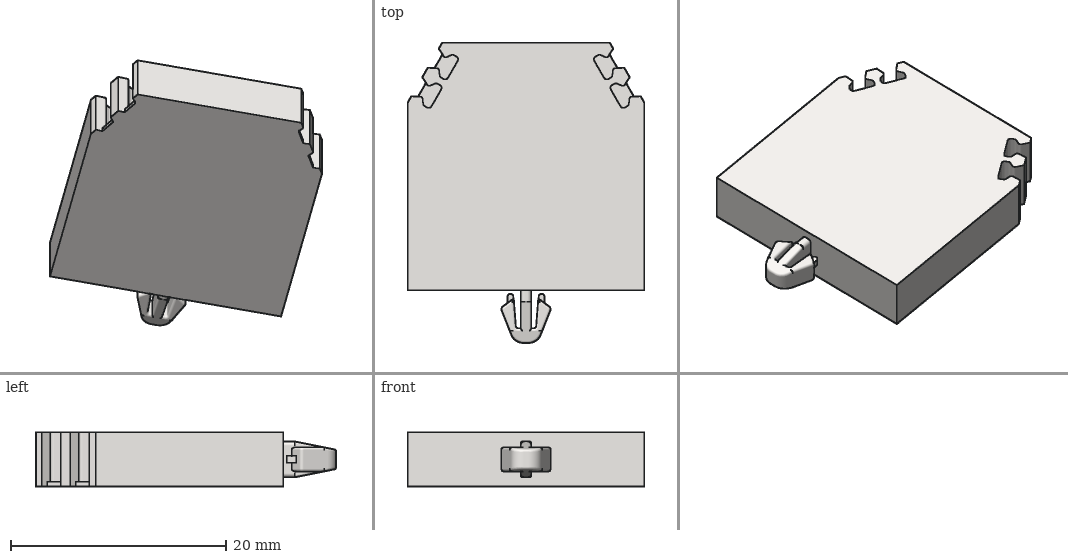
import cadquery as cq
import math

BODY_WIDTH = 22.0
BODY_DEPTH = 23.0
BODY_HEIGHT = 5.05
HALF_WIDTH = BODY_WIDTH / 2
MID_HEIGHT = BODY_HEIGHT / 2

SLOPE_ANGLE = 60.0
REAR_HALF_WIDTH = 7.79
SLOPE_DROP = (HALF_WIDTH - REAR_HALF_WIDTH) * math.tan(math.radians(SLOPE_ANGLE))

SLOT_COUNT = 2
SLOT_PITCH = 3.06
SLOT_START = 0.64
SLOT_MOUTH = 2.03
SLOT_NECK = 1.1
SLOT_NECK_INSET = 0.92
SLOT_SHOULDER_INSET = 1.4
SLOT_POCKET = 2.4
SLOT_DEPTH = 2.1
SLOT_NECK_RADIUS = 0.25
SLOT_POCKET_RADIUS = 0.3
SLOT_FLOOR = 0.45
FLOOR_SETBACK = 0.56

CLIP_LENGTH = 4.9
STEM_HALF_WIDTH = 0.49
STEM_HALF_HEIGHT = 1.67
STEM_STRAIGHT = 1.07
STEM_RADIUS = 0.37
TAPER_RADIUS = 0.2

ARM_HALF_HEIGHT = 1.13
ARM_ANGLE = 68.3
ARM_EDGE_RADIUS = 0.25
NOSE_RADIUS = 1.23
NOSE_FLAT_HALF = 0.235
BARB_Y = -1.65
BARB_RADIUS = 0.32
ARM_END_X = 1.13
ARM_END_Y = -0.75
GAP_BOTTOM_X = 0.92
GAP_BOTTOM_Y = -3.52
GAP_RADIUS = 0.2

NIB_X = 1.45
NIB_WIDTH = 0.57
NIB_TOP_Y = -0.32
NIB_ROOT_Y = -1.5
NIB_HEIGHT = 0.67

SHOULDER_Y = GAP_BOTTOM_Y - ARM_EDGE_RADIUS
TAPER_SLOPE = (STEM_HALF_HEIGHT - ARM_HALF_HEIGHT) / (-STEM_STRAIGHT - SHOULDER_Y)
TIP_HALF_HEIGHT = ARM_HALF_HEIGHT - TAPER_SLOPE * (CLIP_LENGTH + SHOULDER_Y)


def both_sides(right_half):
    """Join a +X feature with its mirror image."""
    return right_half.union(right_half.mirror("YZ"))


def sloped_block(setback, height):
    """Block with both rear corners cut off along the slope, moved inward by setback."""
    shift = setback / math.sin(math.radians(SLOPE_ANGLE))
    rear_x = REAR_HALF_WIDTH - shift
    side_y = BODY_DEPTH - SLOPE_DROP - shift * math.tan(math.radians(SLOPE_ANGLE))
    return (
        cq.Workplane("XY")
        .polyline([
            (-HALF_WIDTH, 0), (HALF_WIDTH, 0), (HALF_WIDTH, side_y), (rear_x, BODY_DEPTH),
            (-rear_x, BODY_DEPTH), (-HALF_WIDTH, side_y),
        ])
        .close()
        .extrude(height)
    )


def slope_plane():
    """Plane whose X runs down the +X slope from the rear edge and whose Y points outward."""
    angle = math.radians(SLOPE_ANGLE)
    return cq.Plane(
        origin=(REAR_HALF_WIDTH, BODY_DEPTH, 0),
        xDir=(math.cos(angle), -math.sin(angle), 0),
        normal=(0, 0, 1),
    )


def make_slot(start):
    """Necked slot, symmetric about its own centre, beginning at a distance down the slope."""
    centre = start + SLOT_MOUTH / 2
    half_outline = [
        (SLOT_MOUTH / 2, 0),
        (SLOT_NECK / 2, -SLOT_NECK_INSET),
        (SLOT_POCKET / 2, -SLOT_SHOULDER_INSET),
        (SLOT_POCKET / 2, -SLOT_DEPTH),
    ]
    outline = [(centre - w, n) for w, n in half_outline]
    outline += [(centre + w, n) for w, n in reversed(half_outline)]
    slot = cq.Workplane(slope_plane()).polyline(outline).close().extrude(BODY_HEIGHT)

    def upright_edges(side, inset):
        point = slope_plane().toWorldCoords((centre + side, -inset, MID_HEIGHT))
        return cq.selectors.NearestToPointSelector(point.toTuple())

    for side in (-1, 1):
        neck = upright_edges(side * SLOT_NECK / 2, SLOT_NECK_INSET)
        slot = slot.edges("|Z").edges(neck).fillet(SLOT_NECK_RADIUS)
        for inset in (SLOT_SHOULDER_INSET, SLOT_DEPTH):
            corner = upright_edges(side * SLOT_POCKET / 2, inset)
            slot = slot.edges("|Z").edges(corner).fillet(SLOT_POCKET_RADIUS)
    return slot


def make_body():
    """Toothed block with a thin floor closing the bottom of the slots."""
    body = sloped_block(0, BODY_HEIGHT)
    for index in range(SLOT_COUNT):
        body = body.cut(both_sides(make_slot(SLOT_START + index * SLOT_PITCH)))
    return body.union(sloped_block(FLOOR_SETBACK, SLOT_FLOOR))


def taper_wedge(half_width):
    """Wedge narrowing in Z from the end of the stem root to the clip tip, centred on Z = 0."""
    return (
        cq.Workplane("YZ")
        .polyline([
            (-STEM_STRAIGHT, STEM_HALF_HEIGHT), (-CLIP_LENGTH, TIP_HALF_HEIGHT),
            (-CLIP_LENGTH, -TIP_HALF_HEIGHT), (-STEM_STRAIGHT, -STEM_HALF_HEIGHT),
        ])
        .close()
        .extrude(half_width, both=True)
    )


def clip_zone(start_y, end_y):
    """Box around the stretch of the clip between two Y positions, used to trim its parts."""
    size = (BODY_WIDTH, start_y - end_y, BODY_HEIGHT)
    return cq.Workplane("XY").box(*size).translate((0, (start_y + end_y) / 2, 0))


def make_stem():
    """Central stem: a straight root followed by a tapered length reaching into the nose."""
    root = (
        cq.Workplane("XZ")
        .rect(2 * STEM_HALF_WIDTH, 2 * STEM_HALF_HEIGHT)
        .extrude(STEM_STRAIGHT)
        .edges("|Y")
        .fillet(STEM_RADIUS)
    )
    taper = (
        taper_wedge(STEM_HALF_WIDTH)
        .edges("(>X or <X) and (not |Z)")
        .fillet(TAPER_RADIUS)
        .intersect(clip_zone(0, SHOULDER_Y))
    )
    return root.union(taper)


def clip_outline():
    """Open wire from barb to barb: straight outer sides running into the rounded nose."""
    angle = math.radians(ARM_ANGLE)
    nose_y = -CLIP_LENGTH + NOSE_RADIUS
    tangent_x = NOSE_FLAT_HALF + NOSE_RADIUS * math.sin(angle)
    tangent_y = nose_y - NOSE_RADIUS * math.cos(angle)
    mid_x = NOSE_FLAT_HALF + NOSE_RADIUS * math.sin(angle / 2)
    mid_y = nose_y - NOSE_RADIUS * math.cos(angle / 2)
    barb_x = tangent_x + (BARB_Y - tangent_y) / math.tan(angle)
    return (
        cq.Workplane("XY")
        .moveTo(-barb_x, BARB_Y)
        .lineTo(-tangent_x, tangent_y)
        .threePointArc((-mid_x, mid_y), (-NOSE_FLAT_HALF, -CLIP_LENGTH))
        .lineTo(NOSE_FLAT_HALF, -CLIP_LENGTH)
        .threePointArc((mid_x, mid_y), (tangent_x, tangent_y))
        .lineTo(barb_x, BARB_Y)
    )


def make_arms():
    """Both arms with the gap between them, up to the nose shoulder, with rounded edges."""
    arms = (
        clip_outline()
        .lineTo(ARM_END_X, ARM_END_Y)
        .lineTo(GAP_BOTTOM_X, GAP_BOTTOM_Y)
        .lineTo(-GAP_BOTTOM_X, GAP_BOTTOM_Y)
        .lineTo(-ARM_END_X, ARM_END_Y)
        .close()
        .extrude(ARM_HALF_HEIGHT, both=True)
    )
    arms = arms.edges("|Z").edges(">X or <X").fillet(BARB_RADIUS)
    for side in (-1, 1):
        corner = cq.selectors.NearestToPointSelector((side * GAP_BOTTOM_X, GAP_BOTTOM_Y, 0))
        arms = arms.edges("|Z").edges(corner).fillet(GAP_RADIUS)
    return arms.faces("<Z or >Z").edges().fillet(ARM_EDGE_RADIUS).intersect(clip_zone(0, SHOULDER_Y))


def make_nose():
    """Tapered nose below the shoulder, rounded along its outer rim."""
    return (
        clip_outline()
        .close()
        .extrude(STEM_HALF_HEIGHT, both=True)
        .intersect(taper_wedge(HALF_WIDTH))
        .edges("not |Z")
        .fillet(ARM_EDGE_RADIUS)
        .intersect(clip_zone(SHOULDER_Y, -CLIP_LENGTH))
    )


def make_nib():
    """Round-ended nib standing on the end of the +X arm."""
    radius = NIB_WIDTH / 2
    return (
        cq.Workplane("XY")
        .moveTo(NIB_X - radius, NIB_ROOT_Y)
        .lineTo(NIB_X + radius, NIB_ROOT_Y)
        .lineTo(NIB_X + radius, NIB_TOP_Y - radius)
        .threePointArc((NIB_X, NIB_TOP_Y), (NIB_X - radius, NIB_TOP_Y - radius))
        .close()
        .extrude(NIB_HEIGHT / 2, both=True)
    )


clip = make_arms().union(make_nose()).union(make_stem()).union(both_sides(make_nib()))
result = make_body().union(clip.translate((0, 0, MID_HEIGHT)))